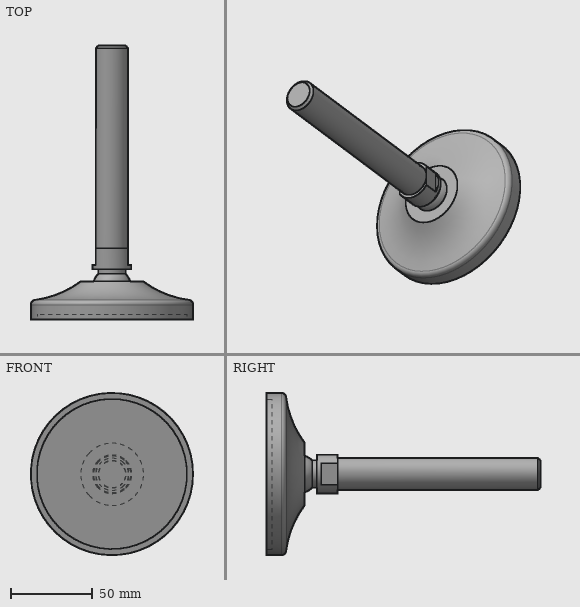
import cadquery as cq
import math

total_length = 169.0

pad_diameter = 100.0
rim_height = 9.3
shoulder_radius = 3.0
pad_height = 23.7
pad_top_radius = 19.3
flank_mid_radius = 30.0
flank_mid_height = 17.2
recess_diameter = 92.5
recess_depth = 3.4

ball_radius = 12.0
neck_diameter = 17.0
neck_start = 28.2

collar_diameter = 24.0
collar_start = 31.1
collar_end = 44.0
flats_start = 33.8
flats_width = 20.0

rod_diameter = 20.0
tip_chamfer = 1.7


def revolve_about_y(profile):
    return profile.close().revolve(360, (0, 0, 0), (0, 1, 0))


def make_pad():
    """Flared disc with a rounded shoulder, a concave flank and a shallow recess underneath."""
    rim_radius = pad_diameter / 2
    shoulder_center = rim_radius - shoulder_radius
    shoulder_top = rim_height + shoulder_radius
    diagonal = shoulder_radius * math.sqrt(0.5)
    shoulder_mid = (shoulder_center + diagonal, rim_height + diagonal)
    profile = (
        cq.Workplane("XY")
        .moveTo(0, recess_depth)
        .lineTo(recess_diameter / 2, recess_depth)
        .lineTo(recess_diameter / 2, 0)
        .lineTo(rim_radius, 0)
        .lineTo(rim_radius, rim_height)
        .threePointArc(shoulder_mid, (shoulder_center, shoulder_top))
        .threePointArc((flank_mid_radius, flank_mid_height), (pad_top_radius, pad_height))
        .lineTo(0, pad_height)
    )
    return revolve_about_y(profile)


def make_stem():
    """Ball zone, neck, collar and chamfered rod, starting at the top of the pad."""
    neck_radius = neck_diameter / 2
    collar_radius = collar_diameter / 2
    rod_radius = rod_diameter / 2
    ball_center = neck_start - math.sqrt(ball_radius**2 - neck_radius**2)

    def ball_point(height):
        return (math.sqrt(ball_radius**2 - (height - ball_center) ** 2), height)

    profile = (
        cq.Workplane("XY")
        .moveTo(0, pad_height)
        .lineTo(*ball_point(pad_height))
        .threePointArc(ball_point((pad_height + neck_start) / 2), (neck_radius, neck_start))
        .lineTo(neck_radius, collar_start)
        .lineTo(collar_radius, collar_start)
        .lineTo(collar_radius, collar_end)
        .lineTo(rod_radius, collar_end)
        .lineTo(rod_radius, total_length - tip_chamfer)
        .lineTo(rod_radius - tip_chamfer, total_length)
        .lineTo(0, total_length)
    )
    return revolve_about_y(profile)


def cut_wrench_flats(stem):
    """Two opposite flats facing -X and +X, open toward the rod."""
    flats_length = collar_end - flats_start
    for side in (-1, 1):
        cutter = cq.Workplane("XY").box(collar_diameter, flats_length, collar_diameter)
        offset = side * (flats_width + collar_diameter) / 2
        stem = stem.cut(cutter.translate((offset, flats_start + flats_length / 2, 0)))
    return stem


result = make_pad().union(cut_wrench_flats(make_stem()))